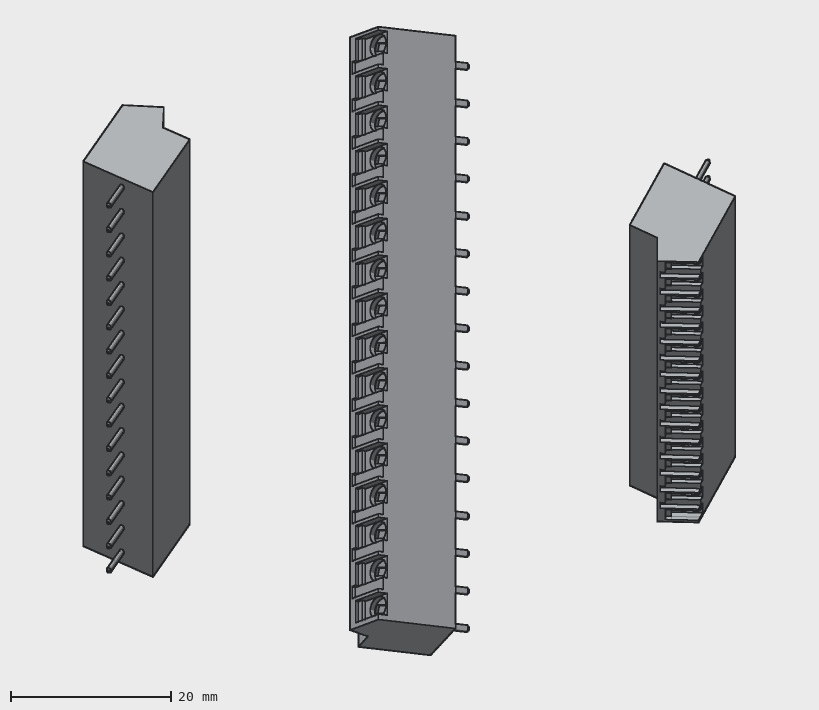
import cadquery as cq
import math

length = 79.1
width = 10.0
shoulder_height = 9.5
side_height = 10.1
ridge_height = 12.35
ridge_x = 4.7
shoulder_x = 6.1

positions = 16
first_pin_offset = 1.75
last_pin_offset = 2.4
pitch = (length - first_pin_offset - last_pin_offset) / (positions - 1)
end_wall = 0.5
rib = 0.5
chamber_length = 2.9
release_length = pitch - chamber_length - rib

step_starts = (1.0, 1.75)
step_depths = (0.5, 1.0)
release_start = 0.4
release_depth = 0.55

well_diameter = 2.85
well_start = 4.0
well_depth = 0.8

slot_length = 2.6
slot_width = 1.1
slot_depth = 0.5
slot_angle = 15

pin_x = 5.5
pin_length = 3.55
pin_thickness = 0.6
pin_height = 0.95
pin_tip = 0.2
pin_tip_ratio = 0.5

slope_angle = math.degrees(math.atan2(ridge_height - side_height, ridge_x))
slope_length = math.hypot(ridge_x, ridge_height - side_height)
overrun = 1.6


def make_housing():
    """Solid bar with a sloped face between its low side and the ridge."""
    outline = [
        (0, 0),
        (width, 0),
        (width, shoulder_height),
        (shoulder_x, shoulder_height),
        (ridge_x, ridge_height),
        (0, side_height),
    ]
    return cq.Workplane("XY").polyline(outline).close().extrude(length)


def on_slope(shape):
    """Turn a shape from slope axes (-X down the slope, +Y out of it) to its place at the ridge."""
    return shape.rotate((0, 0, 0), (0, 0, 1), slope_angle).translate((ridge_x, ridge_height, 0))


def recess(start, depth, bottom, height):
    """Recess with its floor parallel to the sloped face, open at the low side."""
    run = slope_length + overrun - start
    block = cq.Workplane("XY").box(run, depth + overrun, height, centered=False)
    return on_slope(block.translate((-start - run, -depth, bottom)))


def make_well(center):
    """Round well square to the chamber floor, with a driver slot in its own floor."""
    well_bottom = step_depths[-1] + well_depth
    mouth = cq.Workplane("XZ", origin=(-well_start, 0, center))
    well = mouth.circle(well_diameter / 2).extrude(well_bottom)
    slot = (
        mouth.transformed(rotate=(0, 0, slot_angle))
        .rect(slot_length, slot_width)
        .extrude(well_bottom + slot_depth)
    )
    return on_slope(well.union(slot))


def make_pin(center):
    """Pin standing out of the -Y face."""
    shank_end = pin_length - pin_tip
    shank = (
        cq.Workplane("XZ", origin=(pin_x, 0, center))
        .ellipse(pin_thickness / 2, pin_height / 2)
        .extrude(shank_end)
    )
    tip = (
        cq.Workplane("XZ", origin=(pin_x, -shank_end, center))
        .ellipse(pin_thickness / 2, pin_height / 2)
        .workplane(offset=pin_tip)
        .ellipse(pin_thickness / 2 * pin_tip_ratio, pin_height / 2 * pin_tip_ratio)
        .loft(ruled=True)
    )
    return shank.union(tip)


cutters = []
pins = []
for index in range(positions):
    cell_top = length - end_wall - index * pitch
    chamber_bottom = cell_top - chamber_length
    for start, depth in zip(step_starts, step_depths):
        cutters.append(recess(start, depth, chamber_bottom, chamber_length))
    cutters.append(make_well(chamber_bottom + chamber_length / 2))
    if index < positions - 1:
        cutters.append(recess(release_start, release_depth, chamber_bottom - release_length, release_length))
    pins.append(make_pin(length - first_pin_offset - index * pitch))

housing = make_housing().val().cut(*[cutter.val() for cutter in cutters])
result = cq.Workplane(housing.fuse(*[pin.val() for pin in pins]))